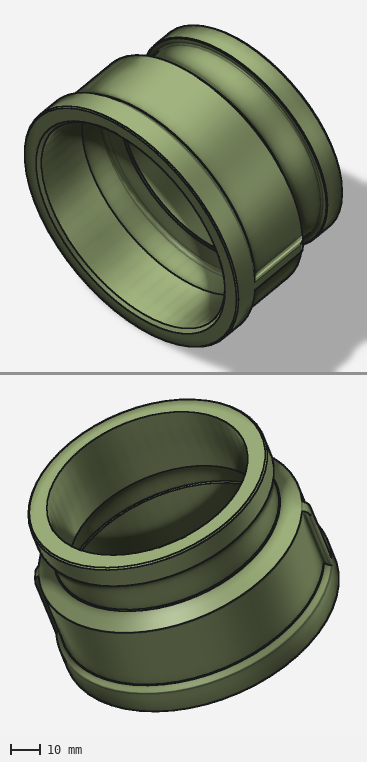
import cadquery as cq
import math

LENGTH = 61.0

FLANGE_DIA = 99.1
FLANGE_WIDTH = 8.9
FLANGE_EDGE = 0.5
BODY_FILLET = 0.5
BODY_DIA = 94.9
BODY_END = 35.3
NECK_DIA = 81.0
SHOULDER_SLOPE = math.radians(30)
COLLAR_DIA = 86.0
COLLAR_WIDTH = 8.4
COLLAR_EDGE = 0.6
COLLAR_FRONT_EDGE = 0.3
NECK_FILLET = 0.6

MOUTH_DIA = 87.5
MOUTH_DEPTH = 1.3
SOCKET_DIA = 84.9
SOCKET_DEPTH = 22.0
RELIEF_DIA = 87.0
RELIEF_END = 33.0
RELIEF_FILLET = 2.0
TAPER_DIA = 75.4
TAPER_END = 35.9
BORE_DIA = 72.2

RIB_WIDTH = 5.1
RIB_END_RADIUS = 4.0
RIB_FILLET = 0.5

PICK = 0.1


def shoulder_y(radius):
    """Axial position of the shoulder cone, extended if needed, at a given radius."""
    return BODY_END + (BODY_DIA / 2 - radius) * math.tan(SHOULDER_SLOPE)


def revolve(points):
    """Revolve a (radius, y) outline about the Y axis."""
    return cq.Workplane("XY").polyline(points).close().revolve(360, (0, 0, 0), (0, 1, 0))


def cylinder(radius):
    """Solid cylinder on the Y axis over the full length of the part."""
    return revolve([(0, 0), (radius, 0), (radius, LENGTH), (0, LENGTH)])


def ring_edges(y):
    """Selector for edges lying in the plane at axial position y."""
    return cq.selectors.BoxSelector(
        (-FLANGE_DIA, y - PICK, -FLANGE_DIA),
        (FLANGE_DIA, y + PICK, FLANGE_DIA), boundingbox=True)


flange_r = FLANGE_DIA / 2
body_r = BODY_DIA / 2
neck_r = NECK_DIA / 2
collar_r = COLLAR_DIA / 2
body_start = FLANGE_WIDTH + flange_r - body_r
collar_start = LENGTH - COLLAR_WIDTH


def outer_body():
    """Solid outside shape, before the bore and the ribs."""
    body = revolve([
        (0, 0),
        (flange_r - FLANGE_EDGE, 0),
        (flange_r, FLANGE_EDGE),
        (flange_r, FLANGE_WIDTH),
        (body_r, body_start),
        (body_r, BODY_END),
        (neck_r, shoulder_y(neck_r)),
        (neck_r, collar_start),
        (collar_r - COLLAR_FRONT_EDGE, collar_start),
        (collar_r, collar_start + COLLAR_FRONT_EDGE),
        (collar_r, LENGTH - COLLAR_EDGE),
        (collar_r - COLLAR_EDGE, LENGTH),
        (0, LENGTH),
    ])
    for y in (FLANGE_WIDTH, body_start, BODY_END):
        body = body.edges(ring_edges(y)).fillet(BODY_FILLET)
    body = body.edges(ring_edges(shoulder_y(neck_r))).fillet(NECK_FILLET)
    neck_corner = cq.selectors.RadiusNthSelector(0)
    return body.edges(ring_edges(collar_start)).edges(neck_corner).fillet(NECK_FILLET)


def ribs():
    """Ribs as high as the flange, rounded along edges and roots, running down onto the shoulder."""
    rib_start = FLANGE_WIDTH / 2
    band = revolve([
        (neck_r, rib_start),
        (flange_r, rib_start),
        (flange_r, shoulder_y(flange_r)),
        (neck_r, shoulder_y(neck_r)),
    ])
    band = band.edges(ring_edges(shoulder_y(flange_r))).fillet(RIB_END_RADIUS)
    bar = cq.Workplane("XY").box(2 * FLANGE_DIA, 2 * LENGTH, RIB_WIDTH)
    section = cylinder(body_r).union(cylinder(flange_r).intersect(bar))
    rib_edges = cq.selectors.BoxSelector(
        (-FLANGE_DIA, -LENGTH, -RIB_WIDTH), (FLANGE_DIA, 2 * LENGTH, RIB_WIDTH), boundingbox=True)
    section = section.edges("|Y").edges(rib_edges).fillet(RIB_FILLET)
    return section.intersect(band)


def cavity():
    """Stepped bore right through the part."""
    bore = revolve([
        (0, 0),
        (MOUTH_DIA / 2, 0),
        (SOCKET_DIA / 2, MOUTH_DEPTH),
        (SOCKET_DIA / 2, SOCKET_DEPTH),
        (RELIEF_DIA / 2, SOCKET_DEPTH),
        (RELIEF_DIA / 2, RELIEF_END),
        (TAPER_DIA / 2, TAPER_END),
        (BORE_DIA / 2, TAPER_END),
        (BORE_DIA / 2, LENGTH),
        (0, LENGTH),
    ])
    return bore.edges(ring_edges(RELIEF_END)).fillet(RELIEF_FILLET)


result = outer_body().union(ribs()).cut(cavity())